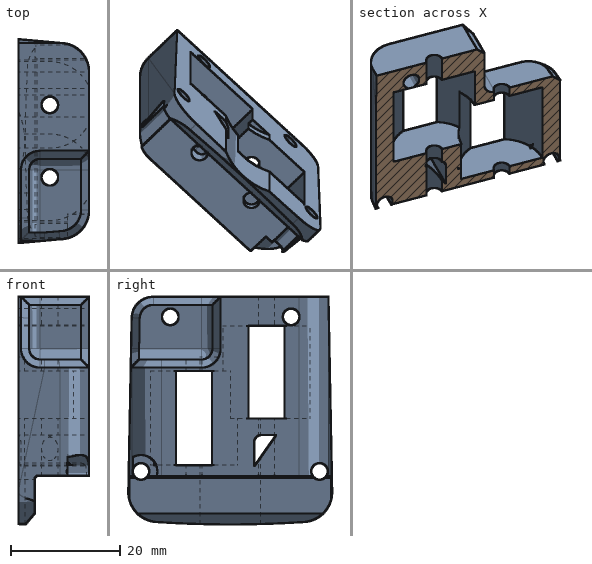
import cadquery as cq
import math


THICKNESS = 13.0
HALF_WIDTH_TOP = 18.0
HALF_WIDTH_BOTTOM = 18.69
BOTTOM_Z = -41.73
BODY_CORNER_R = 5.4

FLANGE_THICKNESS = 3.05
UNDERSIDE_Z = -32.8
UNDERSIDE_CHAMFER = 0.4
FLANGE_CORNER_R = 5.6
CROWN_RISE = 0.42
FLANGE_CHAMFER_X = 1.3
FLANGE_CHAMFER_RISE = 2.05

CRADLE_R = 7.93
CRADLE_X = 5.78
CRADLE_Y = 6.63
UPPER_CRADLE_Z = (-22.3, -5.35)
LOWER_CRADLE_Z = (-30.87, -13.65)

CUTAWAY_WALL_X = 2.0
CUTAWAY_WALL_Y = -3.26
CUTAWAY_FLOOR_Z = -11.5
CUTAWAY_FILLET = 2.0
CUTAWAY_CHAMFER = 1.5
PLATE_CORNER_R = 4.0

CHANNEL_HALF_WIDTH = 5.57
CHANNEL_DEPTH = 1.2
CHANNEL_TOP_Z = -11.05

HOLE_D = 3.0
UPPER_SCREWS = [(11.15, -3.7), (-10.98, -3.7)]
LOWER_SCREWS = [(16.35, -32.0), (-16.35, -32.0)]
COUNTERBORE_D = 6.0
COUNTERBORE_FLOOR_X = 9.0

WINDOW_OUTER_Y = 8.4
WINDOW_INNER_Y = 4.4
WINDOW_TOP_Z = -25.35
WINDOW_BOTTOM_Z = -31.05
WINDOW_CORNER_R = 1.3

MARGIN = 1.0

FLARE_X = THICKNESS - BODY_CORNER_R
FLANGE_TOP_Z = BOTTOM_Z + CROWN_RISE + FLANGE_CORNER_R


def box(x_range, y_range, z_range):
    """Axis-aligned box given by its limits along each axis."""
    lows, highs = zip(x_range, y_range, z_range)
    sizes = [high - low for low, high in zip(lows, highs)]
    return cq.Workplane("XY").box(*sizes, centered=False).translate(lows)


def side_flare(side):
    """Pyramid on one side wall, widening it towards the lower back corner."""
    wall = side * HALF_WIDTH_TOP
    top_back = cq.Vector(0, wall, 0)
    top_front = cq.Vector(FLARE_X, wall, 0)
    low_front = cq.Vector(FLARE_X, wall, FLANGE_TOP_Z)
    low_back = cq.Vector(0, wall, FLANGE_TOP_Z)
    apex = cq.Vector(0, side * HALF_WIDTH_BOTTOM, FLANGE_TOP_Z)
    base = [top_back, top_front, low_front, low_back]
    outlines = [base] + [[base[i - 1], base[i], apex] for i in range(len(base))]
    faces = [cq.Face.makeFromWires(cq.Wire.makePolygon(points, close=True)) for points in outlines]
    return cq.Workplane(cq.Solid.makeSolid(cq.Shell.makeShell(faces)))


def flange():
    """Rounded tongue with a crowned bottom edge, tapered sides and a bevelled front edge."""
    corner_y = HALF_WIDTH_BOTTOM - FLANGE_CORNER_R
    edge_z = BOTTOM_Z + CROWN_RISE
    reach = FLANGE_CORNER_R * math.sqrt(0.5)
    tongue = (
        cq.Workplane("YZ")
        .moveTo(-HALF_WIDTH_BOTTOM, FLANGE_TOP_Z)
        .threePointArc((-corner_y - reach, FLANGE_TOP_Z - reach), (-corner_y, edge_z))
        .threePointArc((0, BOTTOM_Z), (corner_y, edge_z))
        .threePointArc((corner_y + reach, FLANGE_TOP_Z - reach), (HALF_WIDTH_BOTTOM, FLANGE_TOP_Z))
        .close()
        .extrude(FLANGE_THICKNESS)
    )
    taper = (
        cq.Workplane("XY", origin=(0, 0, BOTTOM_Z))
        .moveTo(0, -HALF_WIDTH_BOTTOM)
        .lineTo(FLARE_X, -HALF_WIDTH_TOP)
        .lineTo(FLARE_X, HALF_WIDTH_TOP)
        .lineTo(0, HALF_WIDTH_BOTTOM)
        .close()
        .extrude(FLANGE_TOP_Z - BOTTOM_Z)
    )
    bevel_slope = FLANGE_CHAMFER_RISE / (FLANGE_THICKNESS - FLANGE_CHAMFER_X)
    bevel = (
        cq.Workplane("XZ")
        .moveTo(FLANGE_CHAMFER_X - MARGIN, BOTTOM_Z - MARGIN * bevel_slope)
        .lineTo(FLANGE_THICKNESS + MARGIN, BOTTOM_Z + FLANGE_CHAMFER_RISE + MARGIN * bevel_slope)
        .lineTo(FLANGE_THICKNESS + MARGIN, BOTTOM_Z - MARGIN * bevel_slope)
        .close()
        .extrude(HALF_WIDTH_BOTTOM, both=True)
    )
    return tongue.intersect(taper).cut(bevel)


def body():
    """Main block with rounded front corners, flared sides and the stepped underside."""
    block = box((0, THICKNESS), (-HALF_WIDTH_TOP, HALF_WIDTH_TOP), (FLANGE_TOP_Z, 0))
    block = block.edges("|Z and >X").fillet(BODY_CORNER_R)
    block = block.union(side_flare(1)).union(side_flare(-1))
    step = (
        cq.Workplane("XZ")
        .moveTo(FLANGE_THICKNESS, FLANGE_TOP_Z - MARGIN)
        .lineTo(FLANGE_THICKNESS, UNDERSIDE_Z - UNDERSIDE_CHAMFER)
        .lineTo(FLANGE_THICKNESS + UNDERSIDE_CHAMFER, UNDERSIDE_Z)
        .lineTo(THICKNESS + MARGIN, UNDERSIDE_Z)
        .lineTo(THICKNESS + MARGIN, FLANGE_TOP_Z - MARGIN)
        .close()
        .extrude(HALF_WIDTH_BOTTOM + MARGIN, both=True)
    )
    return block.cut(step)


def add_cutaway(part):
    """Cut the upper corner down to a thin plate and chamfer the rim of the cut."""
    outer_y = -HALF_WIDTH_BOTTOM - MARGIN
    side_y = -HALF_WIDTH_TOP + (HALF_WIDTH_BOTTOM - HALF_WIDTH_TOP) * PLATE_CORNER_R / FLANGE_TOP_Z
    center_y = side_y + PLATE_CORNER_R
    plate_corner = box(
        (0, CUTAWAY_WALL_X),
        (outer_y, center_y),
        (-PLATE_CORNER_R, 0),
    ).cut(
        cq.Workplane("YZ")
        .center(center_y, -PLATE_CORNER_R)
        .circle(PLATE_CORNER_R)
        .extrude(CUTAWAY_WALL_X)
    )
    cut = box(
        (CUTAWAY_WALL_X, THICKNESS + MARGIN),
        (outer_y, CUTAWAY_WALL_Y),
        (CUTAWAY_FLOOR_Z, MARGIN),
    )
    cut = cut.edges("(<X and >Y) or (<X and <Z) or (>Y and <Z)").fillet(CUTAWAY_FILLET)
    rim_edge = cq.selectors.NearestToPointSelector((THICKNESS, CUTAWAY_WALL_Y, CUTAWAY_FLOOR_Z / 2))
    return part.cut(cut).cut(plate_corner).edges(rim_edge).chamfer(CUTAWAY_CHAMFER)


def cradle(y, z_range):
    """Upright U-shaped pocket open to the mounting face."""
    straight = box((-MARGIN, CRADLE_X), (y - CRADLE_R, y + CRADLE_R), z_range)
    round_end = (
        cq.Workplane("XY", origin=(CRADLE_X, y, z_range[0]))
        .circle(CRADLE_R)
        .extrude(z_range[1] - z_range[0])
    )
    return straight.union(round_end)


def channel():
    """Shallow arc-shaped channel running down the mounting face."""
    return (
        cq.Workplane("XY", origin=(0, 0, BOTTOM_Z - MARGIN))
        .moveTo(0, -CHANNEL_HALF_WIDTH)
        .threePointArc((CHANNEL_DEPTH, 0), (0, CHANNEL_HALF_WIDTH))
        .close()
        .extrude(CHANNEL_TOP_Z - BOTTOM_Z + MARGIN)
    )


def window():
    """Triangular opening through the full thickness, rounded at its square corner."""
    return (
        cq.Workplane("YZ", origin=(-MARGIN, 0, 0))
        .moveTo(WINDOW_OUTER_Y, WINDOW_TOP_Z)
        .lineTo(WINDOW_INNER_Y, WINDOW_TOP_Z)
        .lineTo(WINDOW_INNER_Y, WINDOW_BOTTOM_Z)
        .close()
        .extrude(THICKNESS + 2 * MARGIN)
        .edges(cq.selectors.NearestToPointSelector((THICKNESS / 2, WINDOW_INNER_Y, WINDOW_TOP_Z)))
        .fillet(WINDOW_CORNER_R)
    )


def x_cylinder(y, z, diameter, start_x):
    """Cylinder along X from start_x out past the front face."""
    return (
        cq.Workplane("YZ", origin=(start_x, y, z))
        .circle(diameter / 2)
        .extrude(THICKNESS + MARGIN - start_x)
    )


def cradle_hole(y):
    """Vertical hole through the whole body on a cradle axis."""
    return (
        cq.Workplane("XY", origin=(CRADLE_X, y, BOTTOM_Z))
        .circle(HOLE_D / 2)
        .extrude(MARGIN - BOTTOM_Z)
    )


def cut_screw_holes(part):
    """Four holes along X, the lower one beside the cutaway lobe counterbored from the front."""
    for y, z in UPPER_SCREWS + LOWER_SCREWS:
        part = part.cut(x_cylinder(y, z, HOLE_D, -MARGIN))
    counterbore_y, counterbore_z = LOWER_SCREWS[1]
    return part.cut(x_cylinder(counterbore_y, counterbore_z, COUNTERBORE_D, COUNTERBORE_FLOOR_X))


result = add_cutaway(body()).union(flange())
for side, z_limits in ((1, UPPER_CRADLE_Z), (-1, LOWER_CRADLE_Z)):
    result = result.cut(cradle(side * CRADLE_Y, z_limits))
for side in (1, -1):
    result = result.cut(cradle_hole(side * CRADLE_Y))
result = result.cut(channel()).cut(window())
result = cut_screw_holes(result)